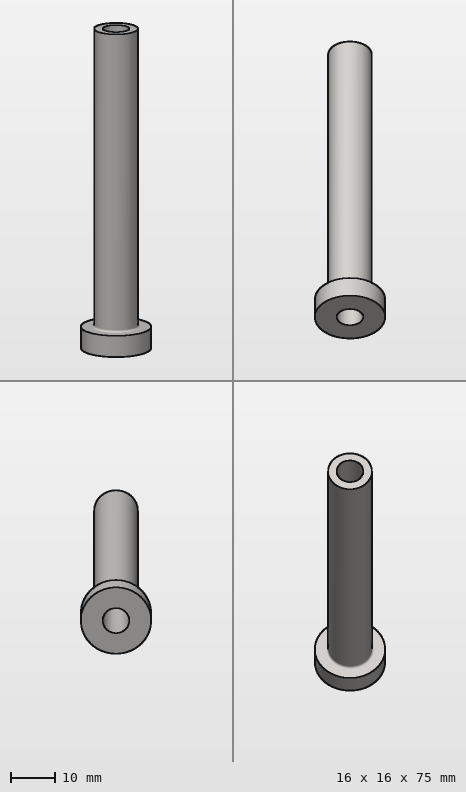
import cadquery as cq

total_length = 75.0
head_diameter = 16.0
head_height = 5.0
shank_diameter = 10.0
bore_diameter = 6.0
neck_fillet_radius = 0.5

head_radius = head_diameter / 2
shank_radius = shank_diameter / 2
bore_radius = bore_diameter / 2

half_section = (
    cq.Workplane("XZ")
    .moveTo(bore_radius, 0)
    .lineTo(head_radius, 0)
    .lineTo(head_radius, head_height)
    .lineTo(shank_radius + neck_fillet_radius, head_height)
    .radiusArc((shank_radius, head_height + neck_fillet_radius), neck_fillet_radius)
    .lineTo(shank_radius, total_length)
    .lineTo(bore_radius, total_length)
    .close()
)

result = half_section.revolve(360, (0, 0, 0), (0, 1, 0))